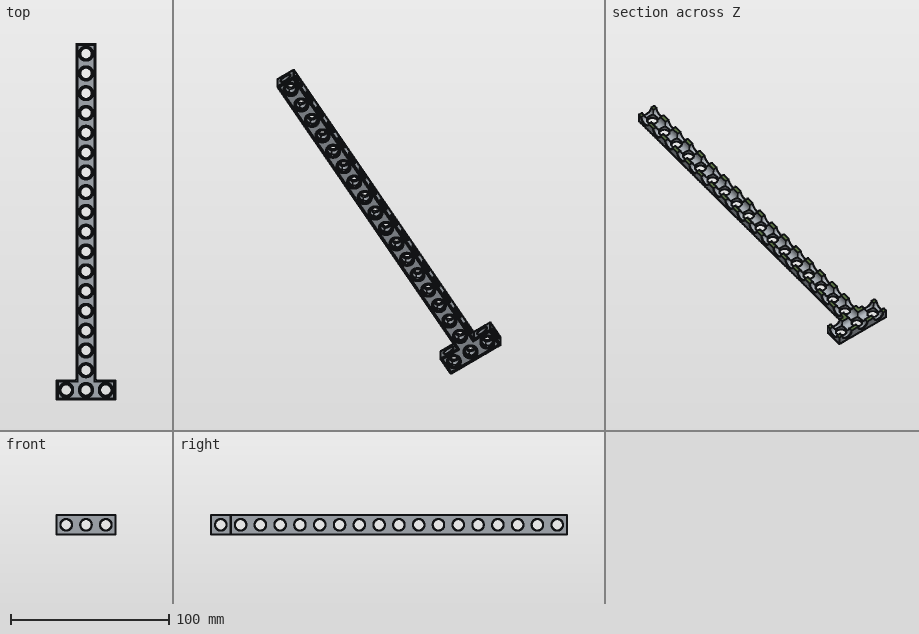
import cadquery as cq

pitch = 12.5
arm_holes = 18
crossbar_holes = 3
hole_diameter = 7.0
edge_chamfer = 0.3
rim_width = 1.1
boss_diameter = 9.2
recess_depth = 0.2

arm_length = arm_holes * pitch
crossbar_length = crossbar_holes * pitch
half_height = pitch / 2
crossbar_x_positions = [(i - (crossbar_holes - 1) / 2) * pitch for i in range(crossbar_holes)]
row_y_positions = [i * pitch for i in range(arm_holes)]
grid_points = [(x, 0) for x in crossbar_x_positions] + [(0, y) for y in row_y_positions[1:]]


def t_prism(inset, height):
    """T-shaped prism set in from the full outline; the crossbar is centred on the XY origin."""
    bar_width = pitch - 2 * inset
    crossbar = cq.Workplane("XY").box(crossbar_length - 2 * inset, bar_width, height)
    arm = cq.Workplane("XY").box(bar_width, arm_length - 2 * inset, height)
    return crossbar.union(arm.translate((0, (arm_length - pitch) / 2, 0)))


def recess():
    """Shallow cutter for a T-shaped face: the area inside the rim, minus a ring around every hole."""
    bosses = cq.Workplane("XY").pushPoints(grid_points).circle(boss_diameter / 2).extrude(recess_depth, both=True)
    return t_prism(rim_width, recess_depth).cut(bosses)


def hole_cutter(length):
    """Round bar along Z with flared ends, so that the hole it cuts has bevelled mouths."""
    radius = hole_diameter / 2
    mouth_radius = radius + edge_chamfer
    half = length / 2
    profile = (
        cq.Workplane("XZ")
        .moveTo(0, -half)
        .lineTo(mouth_radius, -half)
        .lineTo(radius, edge_chamfer - half)
        .lineTo(radius, half - edge_chamfer)
        .lineTo(mouth_radius, half)
        .lineTo(0, half)
        .close()
    )
    return profile.revolve(360, (0, 0, 0), (0, 1, 0))


def drill_z(body):
    """Vertical hole at every grid point."""
    cutter = hole_cutter(pitch)
    for x, y in grid_points:
        body = body.cut(cutter.translate((x, y, 0)))
    return body


def drill_x(body):
    """Hole across the arm at every row, and one lengthwise through the crossbar."""
    for y in row_y_positions:
        length = crossbar_length if y == 0 else pitch
        cutter = hole_cutter(length).rotate((0, 0, 0), (0, 1, 0), 90)
        body = body.cut(cutter.translate((0, y, 0)))
    return body


def drill_y(body):
    """Holes across the crossbar, the middle one running the full length of the arm."""
    for x in crossbar_x_positions:
        length = arm_length if x == 0 else pitch
        cutter = hole_cutter(length).rotate((0, 0, 0), (1, 0, 0), 90)
        body = body.cut(cutter.translate((x, (length - pitch) / 2, 0)))
    return body


def recess_faces(body):
    """Same recess in the top and the bottom face."""
    height = half_height - recess_depth / 2
    for side in (-1, 1):
        body = body.cut(recess().translate((0, 0, side * height)))
    return body


bevelled_bar = t_prism(0, pitch).edges().chamfer(edge_chamfer)
result = drill_y(drill_x(drill_z(recess_faces(bevelled_bar))))